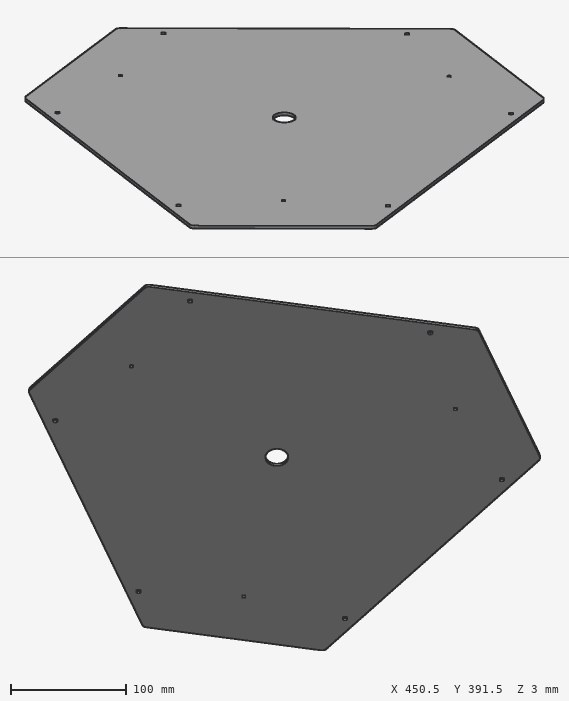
import cadquery as cq
import math

thickness = 3.0
long_side_distance = 176.5
short_side_distance = 215.0
corner_radius = 5.0

center_hole_diameter = 20.0
edge_hole_diameter = 4.0
edge_hole_distance = 166.0
edge_hole_spacing = 211.5
inner_hole_diameter = 3.0
inner_hole_distance = 165.0

sector_angles = (0, 120, 240)


def rotated(point, degrees):
    """Turn a point about the plate centre."""
    x, y = point
    angle = math.radians(degrees)
    return (
        x * math.cos(angle) - y * math.sin(angle),
        x * math.sin(angle) + y * math.cos(angle),
    )


def repeated(points):
    """Repeat points in all three sectors, counterclockwise."""
    return [rotated(point, angle) for angle in sector_angles for point in points]


def make_plate():
    long_side_half_length = (2 * short_side_distance - long_side_distance) / math.sqrt(3)
    bottom_corners = [
        (-long_side_half_length, -long_side_distance),
        (long_side_half_length, -long_side_distance),
    ]
    outline = cq.Workplane("XY").polyline(repeated(bottom_corners)).close()
    return outline.extrude(thickness).edges("|Z").fillet(corner_radius)


def drill(plate, points, diameter):
    return plate.faces(">Z").workplane(origin=(0, 0, 0)).pushPoints(points).hole(diameter)


edge_holes = [
    (-edge_hole_spacing / 2, -edge_hole_distance),
    (edge_hole_spacing / 2, -edge_hole_distance),
]
inner_holes = [(0, inner_hole_distance)]

result = make_plate()
result = drill(result, [(0, 0)], center_hole_diameter)
result = drill(result, repeated(edge_holes), edge_hole_diameter)
result = drill(result, repeated(inner_holes), inner_hole_diameter)